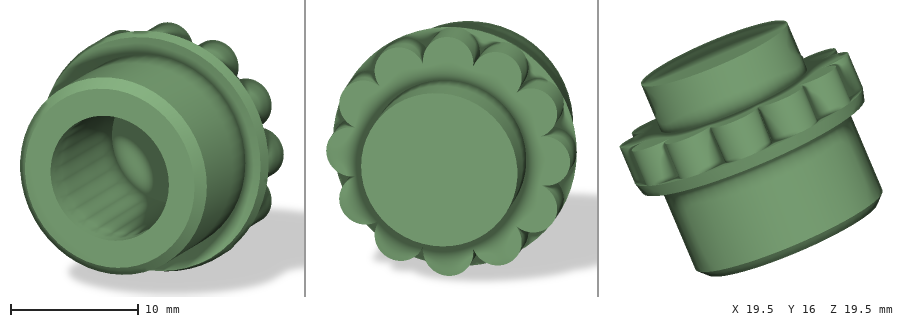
import cadquery as cq
import math

flange_diameter = 19.5
flange_thickness = 1.0
flange_taper_angle = 15.0
flange_dish_angle = 15.0

sleeve_diameter = 16.0
sleeve_length = 8.0
sleeve_chamfer = 0.75

lobe_count = 12
lobe_radius = 2.0
lobe_length = 3.0

boss_diameter = 12.5
boss_length = 4.02

bore_mouth_diameter = 10.14
bore_floor_diameter = 9.95
bore_depth = 12.0

flange_radius = flange_diameter / 2
flange_front_radius = flange_radius - flange_thickness * math.tan(math.radians(flange_taper_angle))
sleeve_radius = sleeve_diameter / 2
dish_depth = (flange_front_radius - sleeve_radius) * math.tan(math.radians(flange_dish_angle))
boss_radius = boss_diameter / 2
lobe_circle_radius = flange_radius - lobe_radius
flange_back = sleeve_length + flange_thickness
lobes_back = flange_back + lobe_length
boss_back = lobes_back + boss_length


def make_body():
    """Sleeve, tapered flange with dished front face, lobe core and rear boss as one turned body."""
    profile = (
        cq.Workplane("XY")
        .moveTo(0, 0)
        .lineTo(sleeve_radius - sleeve_chamfer, 0)
        .lineTo(sleeve_radius, sleeve_chamfer)
        .lineTo(sleeve_radius, sleeve_length + dish_depth)
        .lineTo(flange_front_radius, sleeve_length)
        .lineTo(flange_radius, flange_back)
        .lineTo(lobe_circle_radius, flange_back)
        .lineTo(lobe_circle_radius, lobes_back)
        .lineTo(boss_radius, lobes_back)
        .lineTo(boss_radius, boss_back)
        .lineTo(0, boss_back)
        .close()
    )
    return profile.revolve(360, (0, 0, 0), (0, 1, 0))


def make_lobes():
    """Ring of round lobes behind the flange, flush with its rim."""
    return (
        cq.Workplane("XZ", origin=(0, flange_back, 0))
        .polarArray(lobe_circle_radius, 0, 360, lobe_count)
        .circle(lobe_radius)
        .extrude(-lobe_length, combine=False)
    )


def make_bore():
    """Slightly tapered blind bore, open at the front face."""
    profile = (
        cq.Workplane("XY")
        .moveTo(0, 0)
        .lineTo(bore_mouth_diameter / 2, 0)
        .lineTo(bore_floor_diameter / 2, bore_depth)
        .lineTo(0, bore_depth)
        .close()
    )
    return profile.revolve(360, (0, 0, 0), (0, 1, 0))


result = make_body().union(make_lobes()).cut(make_bore())